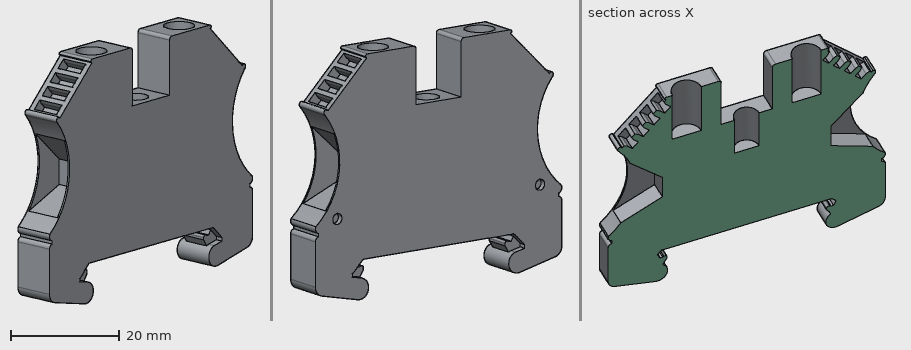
import cadquery as cq
import math

length = 56.0
height = 46.5
thickness = 7.9
half_length = length / 2

channel_half_width = 5.1
channel_floor_z = 35.3
tower_edge_radius = 0.7
tower_outer_y = 16.65
tower_outer_radius = 0.45

marker_top_y = 16.35
marker_top_z = 45.75
marker_rise = 8.8
marker_bottom_y = marker_top_y + marker_rise
marker_bottom_z = marker_top_z - marker_rise

slot_count = 4
slot_pitch = 3.1
slot_length = 5.5
slot_height = 2.1
slot_depth = 2.1
slot_mouth_depth = 0.8
slot_mouth_inset = 0.25

grip_radius = 14.85
grip_waist_y = 22.45
grip_center_y = grip_waist_y + grip_radius
grip_center_z = 26.75
grip_top_z = 36.2
grip_bottom_z = 15.3
grip_bead_start_y = 25.4
grip_bead_top_z = 37.25
grip_bead_y = 26.05
grip_bead_z = 36.8

end_groove_y = 27.3
end_groove_top_z = 13.9
end_groove_bottom_z = 13.3
end_lip_radius = 0.85
end_upper_lip_z = 14.85
end_lower_lip_z = 12.45

rail_face_z = 7.55
rail_face_half_length = 17.15
hook_y = 19.55
hook_top_z = rail_face_z - (hook_y - rail_face_half_length)
hook_bottom_z = 4.5
hook_lip_y = 17.35
hook_lip_z = 4.05
toe_radius = 2.1
toe_center_y = 18.0
sole_angle = math.radians(12.8)
heel_radius = 1.95

tongue_width = 5.05
tongue_base_y = 16.9
tongue_base_z = 3.8
tongue_tip_y = 16.1
tongue_tip_bottom_z = 5.15
tongue_tip_radius = 0.4
tongue_top_z = 6.0
tongue_nose_end_y = 16.75
tongue_notch_z = 5.8
tongue_notch_start_y = 16.95
tongue_notch_end_y = 17.5
tongue_root_y = 18.0
tongue_root_z = rail_face_z - (tongue_root_y - rail_face_half_length)

clamp_hole_diameter = 5.75
clamp_hole_y = 12.1
clamp_hole_depth = 11.2
bridge_hole_diameter = 4.9
bridge_hole_depth = 8.4

funnel_width = 7.1
funnel_back_y = 17.0
funnel_back_bottom_z = 21.3
funnel_back_top_z = 26.15
funnel_mouth_bottom_z = 17.85
funnel_mouth_top_z = 32.25

pin_hole_diameter = 2.1
pin_hole_y = 23.0
pin_hole_z = 16.1
pin_hole_depth = 1.1


def grip_y(z):
    """Y of the concave grip arc at height z."""
    return grip_center_y - math.sqrt(grip_radius**2 - (z - grip_center_z) ** 2)


def extrude_centered(outline, width):
    """Extrude a YZ outline symmetrically about X = 0."""
    return outline.extrude(width / 2, both=True)


def both_ends(solid):
    """Join a +Y feature and its mirror image on the -Y end."""
    return solid.union(solid.mirror("XZ"))


def half_body():
    """The +Y half of the housing, from the mid plane to the end face."""
    diagonal = math.sqrt(0.5)
    tower_arc_y = tower_outer_y - tower_outer_radius
    tower_arc_z = height - tower_outer_radius
    lip_arc = end_lip_radius * (1 - diagonal)
    sole_y = toe_center_y + toe_radius * math.sin(sole_angle)
    sole_z = toe_radius * (1 - math.cos(sole_angle))
    heel_z = sole_z + (half_length - sole_y) * math.tan(sole_angle)

    outline = (
        cq.Workplane("YZ")
        .moveTo(0, channel_floor_z)
        .lineTo(channel_half_width, channel_floor_z)
        .lineTo(channel_half_width, height)
        .lineTo(tower_arc_y, height)
        .threePointArc(
            (tower_arc_y + tower_outer_radius * diagonal, tower_arc_z + tower_outer_radius * diagonal),
            (tower_outer_y, tower_arc_z),
        )
        .lineTo(marker_top_y, marker_top_z)
        .lineTo(marker_bottom_y, marker_bottom_z)
        .lineTo(grip_bead_start_y, grip_bead_top_z)
        .threePointArc((grip_bead_y, grip_bead_z), (grip_y(grip_top_z), grip_top_z))
        .threePointArc((grip_waist_y, grip_center_z), (grip_y(grip_bottom_z), grip_bottom_z))
        .threePointArc((half_length, end_upper_lip_z), (end_groove_y, end_groove_top_z))
        .lineTo(end_groove_y, end_groove_bottom_z)
        .threePointArc(
            (half_length - lip_arc, end_lower_lip_z + end_lip_radius * diagonal),
            (half_length, end_lower_lip_z),
        )
        .lineTo(half_length, heel_z)
        .lineTo(sole_y, sole_z)
        .threePointArc((toe_center_y - toe_radius, toe_radius), (hook_lip_y, hook_lip_z))
        .lineTo(hook_y, hook_bottom_z)
        .lineTo(hook_y, hook_top_z)
        .lineTo(rail_face_half_length, rail_face_z)
        .lineTo(0, rail_face_z)
        .close()
    )
    body = extrude_centered(outline, thickness)
    heel = cq.NearestToPointSelector((0, half_length, heel_z))
    body = body.edges("|X").edges(heel).fillet(heel_radius)
    tower_edge = cq.NearestToPointSelector((0, channel_half_width, height))
    return body.edges("|X").edges(tower_edge).fillet(tower_edge_radius)


def latch_tongue():
    """Tongue that fills the middle of the +Y hook and ends in a small nose."""
    tip_arc = tongue_tip_radius * (1 - math.sqrt(0.5))
    outline = (
        cq.Workplane("YZ")
        .moveTo(tongue_base_y, tongue_base_z)
        .lineTo(tongue_tip_y, tongue_tip_bottom_z)
        .lineTo(tongue_tip_y, tongue_top_z - tongue_tip_radius)
        .threePointArc(
            (tongue_tip_y + tip_arc, tongue_top_z - tip_arc),
            (tongue_tip_y + tongue_tip_radius, tongue_top_z),
        )
        .lineTo(tongue_nose_end_y, tongue_top_z)
        .lineTo(tongue_notch_start_y, tongue_notch_z)
        .lineTo(tongue_notch_end_y, tongue_notch_z)
        .lineTo(tongue_root_y, tongue_root_z)
        .lineTo(hook_y, hook_top_z)
        .lineTo(hook_y, hook_bottom_z)
        .lineTo(toe_center_y, toe_radius)
        .close()
    )
    return extrude_centered(outline, tongue_width)


def wire_funnel():
    """Funnel that narrows from the +Y grip to a flat back wall."""
    outline = (
        cq.Workplane("YZ")
        .moveTo(funnel_back_y, funnel_back_bottom_z)
        .lineTo(funnel_back_y, funnel_back_top_z)
        .lineTo(grip_y(funnel_mouth_top_z), funnel_mouth_top_z)
        .lineTo(half_length, grip_center_z)
        .lineTo(grip_y(funnel_mouth_bottom_z), funnel_mouth_bottom_z)
        .close()
    )
    return extrude_centered(outline, funnel_width)


def marker_slots():
    """Row of slots square to the +Y marker face, each with tapered long sides at its mouth."""
    half_mouth = slot_height / 2
    half_throat = half_mouth - slot_mouth_inset
    row_center_y = (marker_top_y + marker_bottom_y) / 2
    row_center_z = (marker_top_z + marker_bottom_z) / 2
    face = cq.Plane(origin=(0, row_center_y, row_center_z), xDir=(0, -1, 1), normal=(1, 0, 0))
    outlines = cq.Workplane(face)
    for index in range(slot_count):
        center = (index - (slot_count - 1) / 2) * slot_pitch
        outlines = (
            outlines.moveTo(center - half_mouth, 0)
            .lineTo(center - half_throat, slot_mouth_depth)
            .lineTo(center - half_throat, slot_depth)
            .lineTo(center + half_throat, slot_depth)
            .lineTo(center + half_throat, slot_mouth_depth)
            .lineTo(center + half_mouth, 0)
            .close()
        )
    return extrude_centered(outlines, slot_length)


def screw_holes():
    """Two clamp screw holes in the towers and one bridge screw hole in the channel floor."""
    clamps = (
        cq.Workplane("XY", origin=(0, 0, height))
        .pushPoints([(0, clamp_hole_y), (0, -clamp_hole_y)])
        .circle(clamp_hole_diameter / 2)
        .extrude(-clamp_hole_depth)
    )
    bridge = (
        cq.Workplane("XY", origin=(0, 0, channel_floor_z))
        .circle(bridge_hole_diameter / 2)
        .extrude(-bridge_hole_depth)
    )
    return clamps.union(bridge)


def pin_holes():
    """Blind holes entering from the -X side face."""
    return (
        cq.Workplane("YZ", origin=(-thickness / 2, 0, 0))
        .pushPoints([(pin_hole_y, pin_hole_z), (-pin_hole_y, pin_hole_z)])
        .circle(pin_hole_diameter / 2)
        .extrude(pin_hole_depth)
    )


result = (
    both_ends(half_body().union(latch_tongue()))
    .cut(both_ends(wire_funnel()))
    .cut(both_ends(marker_slots()))
    .cut(screw_holes())
    .cut(pin_holes())
)